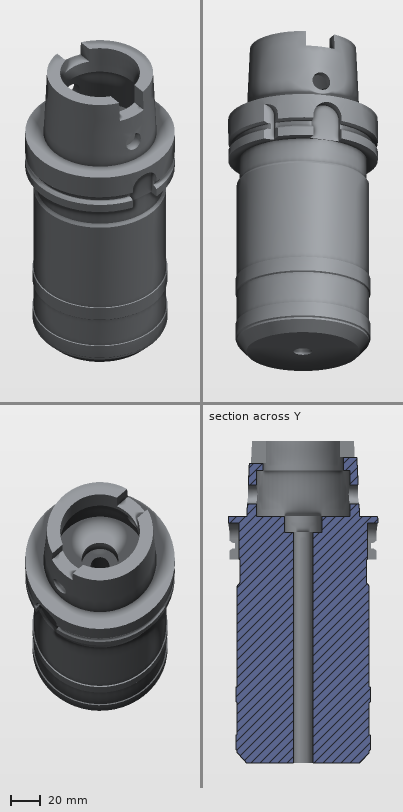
import cadquery as cq

total_length = 215.0
shank_length = 50.0
flange_top = total_length - shank_length
flange_bottom = flange_top - 29.0

shank_top_radius = 35.5
shank_root_radius = 37.8

flange_radius = 49.99
groove_radius = 46.5
groove_top = 148.4
groove_bottom = 142.0
groove_chamfer = 1.3
groove_lip_radius = 48.2

neck_radius = 42.5
neck_bottom = 120.5
body_radius = 44.3
body_top = 118.2
ring_radius = 45.2
ring_height = 9.7
ring_bevel = ring_radius - body_radius
ring_tops = (51.0, 19.0)
nose_top = 7.0
nose_radius = 37.8

bore_radius = 26.7
bore_lip_depth = 19.8
undercut_radius = 31.2
bore_depth = shank_length
counterbore_radius = 12.3
counterbore_depth = 10.8
through_radius = 6.2

cross_hole_radius = 6.2
cross_hole_z = total_length - 35.5

drive_width = 20.0
shallow_notch_depth = 10.5
deep_notch_depth = 14.8
slot_floor_x = 43.0
slot_top = flange_top - 4.7
orientation_floor_x = 31.5
orientation_edge_y = 31.5
orientation_radius = 7.7


def turned_body():
    """Solid of revolution carrying the shank, flange, neck, rings and nose."""
    points = [
        (0, total_length),
        (shank_top_radius, total_length),
        (shank_root_radius, flange_top),
        (flange_radius, flange_top),
        (flange_radius, groove_top),
        (groove_lip_radius, groove_top - groove_chamfer),
        (groove_radius, groove_top - groove_chamfer),
        (groove_radius, groove_bottom + groove_chamfer),
        (groove_lip_radius, groove_bottom + groove_chamfer),
        (flange_radius, groove_bottom),
        (flange_radius, flange_bottom),
        (neck_radius, flange_bottom),
        (neck_radius, neck_bottom),
        (body_radius, body_top),
    ]
    for ring_top in ring_tops:
        ring_bottom = ring_top - ring_height
        points += [
            (body_radius, ring_top),
            (ring_radius, ring_top),
            (ring_radius, ring_bottom),
            (body_radius, ring_bottom - ring_bevel),
        ]
    points += [(body_radius, nose_top), (nose_radius, 0), (0, 0)]
    return cq.Workplane("XZ").polyline(points).close().revolve(360, (0, 0), (0, 1))


def interior():
    """Undercut clamping bore, counterbore and central through hole."""
    lip_z = total_length - bore_lip_depth
    floor_z = total_length - bore_depth
    counterbore_z = floor_z - counterbore_depth
    points = [
        (0, total_length),
        (bore_radius, total_length),
        (bore_radius, lip_z),
        (undercut_radius, lip_z),
        (undercut_radius, floor_z),
        (counterbore_radius, floor_z),
        (counterbore_radius, counterbore_z),
        (through_radius, counterbore_z),
        (through_radius, 0),
        (0, 0),
    ]
    return cq.Workplane("XZ").polyline(points).close().revolve(360, (0, 0), (0, 1))


def end_notch(side, depth):
    """Rectangular notch in the shank end, on the side of X given by its sign."""
    return (
        cq.Workplane("XY", origin=(side * flange_radius / 2, 0, total_length - depth))
        .rect(flange_radius, drive_width)
        .extrude(depth)
    )


def arched_slot(side, floor_x, center_y, radius, top):
    """Round-topped slot cut in along X to a flat floor and open at the flange bottom."""
    arch_z = top - radius
    return (
        cq.Workplane("YZ", origin=(side * floor_x, 0, 0))
        .moveTo(center_y - radius, flange_bottom)
        .lineTo(center_y - radius, arch_z)
        .threePointArc((center_y, top), (center_y + radius, arch_z))
        .lineTo(center_y + radius, flange_bottom)
        .close()
        .extrude(side * (flange_radius - floor_x))
    )


cross_hole = (
    cq.Workplane("YZ", origin=(0, 0, cross_hole_z))
    .circle(cross_hole_radius)
    .extrude(shank_root_radius, both=True)
)

result = turned_body().cut(interior()).cut(cross_hole)
result = result.cut(end_notch(-1, shallow_notch_depth))
result = result.cut(end_notch(1, deep_notch_depth))
for slot_side in (-1, 1):
    result = result.cut(arched_slot(slot_side, slot_floor_x, 0, drive_width / 2, slot_top))
orientation_center_y = orientation_edge_y + orientation_radius
result = result.cut(
    arched_slot(-1, orientation_floor_x, orientation_center_y, orientation_radius, slot_top)
)